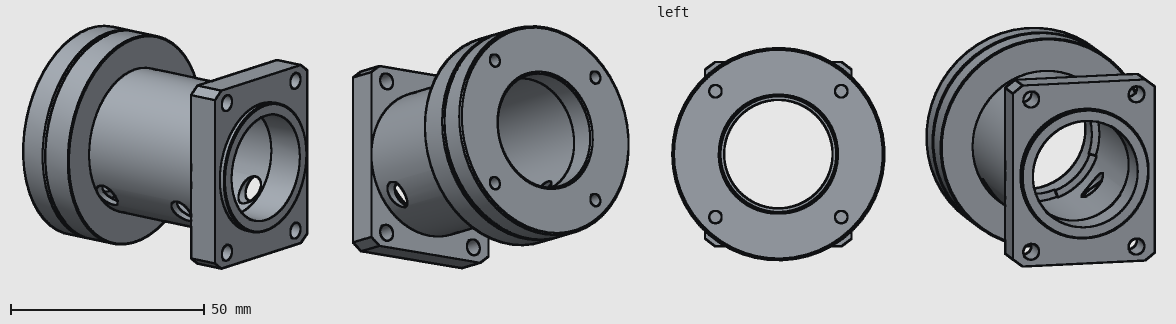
import cadquery as cq
import math

length = 59.0
flange_joint = 7.4
flange_back = 15.5
plate_front = 49.5
plate_back = 57.45

flange_diameter = 55.0
tube_diameter = 38.0
spigot_diameter = 34.0
mouth_bore_diameter = 30.0
chamber_diameter = spigot_diameter
exit_bore_diameter = 28.0
edge_chamfer = 0.5
fine_chamfer = 0.25

plate_width = tube_diameter
plate_height = 47.8
corner_width = 2.65
corner_height = 2.0
plate_hole_diameter = 4.2
plate_hole_spacing_y = 28.15
plate_hole_spacing_z = 40.2

flange_hole_diameter = 3.25
flange_hole_spacing = 32.55

cross_hole_diameter = 6.0
cross_hole_z = -11.15
front_cross_hole_x = 18.5
rear_cross_hole_x = 43.4

seat_half_angle = 52.0
seat_apex_y = 17.2
seat_apex_depth = 0.25
seat_apex_z = cross_hole_z + cross_hole_diameter / 2 - seat_apex_depth
seat_height = cross_hole_diameter

arc_height = 1.0
arc_span = 51.0
arc_middle = -45.0


def cylinder(start_x, end_x, diameter):
    """Solid cylinder on the X axis."""
    return cq.Workplane("YZ", origin=(start_x, 0, 0)).circle(diameter / 2).extrude(end_x - start_x)


def holes(start_x, end_x, diameter, spacing_y, spacing_z):
    """Four holes along X, in a rectangular pattern."""
    return (
        cq.Workplane("YZ", origin=(start_x, 0, 0))
        .rect(spacing_y, spacing_z, forConstruction=True)
        .vertices()
        .circle(diameter / 2)
        .extrude(end_x - start_x)
    )


def make_flange():
    """Two discs whose chamfered rims form a V groove at the joint."""
    front_disc = cylinder(0, flange_joint, flange_diameter).edges().chamfer(edge_chamfer)
    back_disc = (
        cylinder(flange_joint, flange_back, flange_diameter)
        .edges("<X").chamfer(edge_chamfer)
        .edges(">X").chamfer(fine_chamfer)
    )
    return front_disc.union(back_disc)


def make_plate():
    """Rectangular end plate with cut corners and four through holes."""
    half_width = plate_width / 2
    half_height = plate_height / 2
    flat_y = half_width - corner_width
    flat_z = half_height - corner_height
    outline = [
        (-flat_y, -half_height),
        (flat_y, -half_height),
        (half_width, -flat_z),
        (half_width, flat_z),
        (flat_y, half_height),
        (-flat_y, half_height),
        (-half_width, flat_z),
        (-half_width, -flat_z),
    ]
    plate = (
        cq.Workplane("YZ", origin=(plate_front, 0, 0))
        .polyline(outline)
        .close()
        .extrude(plate_back - plate_front)
    )
    return plate.cut(
        holes(plate_front, plate_back, plate_hole_diameter, plate_hole_spacing_y, plate_hole_spacing_z)
    )


def make_bore():
    """Stepped bore: chamfered mouth, wide chamber in the tube, narrow exit through the plate."""
    mouth_radius = mouth_bore_diameter / 2
    mouth_chamfer = cq.Workplane(
        cq.Solid.makeCone(
            mouth_radius + edge_chamfer, mouth_radius, edge_chamfer, dir=cq.Vector(1, 0, 0)
        )
    )
    mouth = cylinder(0, flange_joint, mouth_bore_diameter).union(mouth_chamfer)
    chamber = cylinder(flange_joint, plate_front, chamber_diameter)
    outlet = cylinder(plate_front, length, exit_bore_diameter)
    return mouth.union(chamber).union(outlet)


def cross_hole(x):
    """Hole through both tube walls, along Y."""
    return (
        cq.Workplane("XZ", origin=(x, 0, cross_hole_z))
        .circle(cross_hole_diameter / 2)
        .extrude(tube_diameter / 2, both=True)
    )


def make_seat():
    """Upright cone left standing in the wall on the +Y side."""
    base_radius = seat_height * math.tan(math.radians(seat_half_angle))
    return cq.Workplane(
        cq.Solid.makeCone(
            base_radius, 0, seat_height,
            pnt=cq.Vector(front_cross_hole_x, seat_apex_y, seat_apex_z - seat_height),
        )
    )


def make_raised_arc():
    """Ring segment standing on the step where the mouth bore opens into the chamber."""
    ring = cylinder(flange_joint, flange_joint + arc_height, chamber_diameter).cut(
        cylinder(flange_joint, flange_joint + arc_height, mouth_bore_diameter)
    )
    reach = chamber_diameter
    half_spread = reach * math.tan(math.radians(arc_span / 2))
    sector = (
        cq.Workplane("YZ", origin=(flange_joint, 0, 0))
        .polyline([(0, 0), (reach, -half_spread), (reach, half_spread)])
        .close()
        .extrude(arc_height)
        .rotate((0, 0, 0), (1, 0, 0), arc_middle)
    )
    return ring.intersect(sector)


spigot = cylinder(plate_back, length, spigot_diameter).edges(">X").chamfer(fine_chamfer)
result = make_flange().union(cylinder(flange_back, plate_back, tube_diameter))
result = result.union(make_plate()).union(spigot)
result = result.cut(make_bore()).union(make_raised_arc())
result = result.cut(
    holes(0, flange_joint, flange_hole_diameter, flange_hole_spacing, flange_hole_spacing)
)
result = result.cut(cross_hole(front_cross_hole_x).cut(make_seat()))
result = result.cut(cross_hole(rear_cross_hole_x))